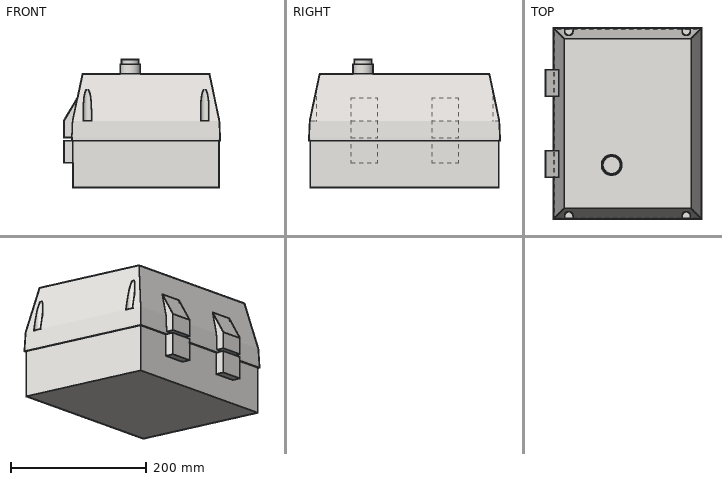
import cadquery as cq

RIM_X = 219.5
RIM_Y = 283.0

BASE_TOP = 69.5
RIM_TOP = 74.0
BAND_TOP = 98.8
LID_TOP = 168.5
BUTTON_STEP = 182.5
BUTTON_TOP = 189.5

BASE_INSET = 1.7
BAND_INSET = 1.0
LID_TOP_INSET = 15.8

LATCH_OUTER_X = -121.7
LATCH_WIDTH = 39.5
LATCH_OFFSET_Y = 60.0
LATCH_BOTTOM = 36.5
LATCH_TOP = 133.0

BUTTON_X = -23.5
BUTTON_Y = -61.5
BUTTON_RADIUS = 15.0
BUTTON_CAP_RADIUS = 13.0

RECESS_RADIUS = 6.2
RECESS_X = 87.0
RECESS_Y = 136.7


def box_between(inset, bottom, top):
    """Straight-sided block whose outline lies inside the rim by the inset."""
    return (
        cq.Workplane("XY")
        .workplane(offset=bottom)
        .rect(RIM_X - 2 * inset, RIM_Y - 2 * inset)
        .extrude(top - bottom)
    )


def tapered_block(bottom_inset, bottom, top_inset, top):
    """Block that tapers between two rectangles inset from the rim."""
    return (
        cq.Workplane("XY")
        .workplane(offset=bottom)
        .rect(RIM_X - 2 * bottom_inset, RIM_Y - 2 * bottom_inset)
        .workplane(offset=top - bottom)
        .rect(RIM_X - 2 * top_inset, RIM_Y - 2 * top_inset)
        .loft(ruled=True)
    )


def latch_block(outline, center_y):
    """Extrude an XZ outline by the latch width, centred at center_y."""
    return (
        cq.Workplane("XZ", origin=(0, center_y, 0))
        .polyline(outline)
        .close()
        .extrude(LATCH_WIDTH / 2, both=True)
    )


def make_base():
    """Base block with the lower halves of the latches."""
    base = box_between(BASE_INSET, 0, BASE_TOP)
    wall_x = -RIM_X / 2 + BASE_INSET
    outline = [
        (LATCH_OUTER_X, LATCH_BOTTOM),
        (wall_x, LATCH_BOTTOM),
        (wall_x, BASE_TOP),
        (LATCH_OUTER_X, BASE_TOP),
    ]
    for center_y in (-LATCH_OFFSET_Y, LATCH_OFFSET_Y):
        base = base.union(latch_block(outline, center_y))
    return base


def make_recess(x, side):
    """Round-backed vertical slot, open towards the given Y side (-1 or +1)."""
    depth = LID_TOP - BAND_TOP
    open_length = RIM_Y / 2 - RECESS_Y
    round_back = (
        cq.Workplane("XY", origin=(x, side * RECESS_Y, BAND_TOP))
        .circle(RECESS_RADIUS)
        .extrude(depth)
    )
    opening = (
        cq.Workplane("XY", origin=(x, side * (RECESS_Y + open_length / 2), BAND_TOP))
        .rect(2 * RECESS_RADIUS, open_length)
        .extrude(depth)
    )
    return round_back.union(opening)


def make_button():
    """Push button: a wide collar with a narrower cap."""
    collar = (
        cq.Workplane("XY", origin=(BUTTON_X, BUTTON_Y, LID_TOP))
        .circle(BUTTON_RADIUS)
        .extrude(BUTTON_STEP - LID_TOP)
    )
    return collar.faces(">Z").workplane().circle(BUTTON_CAP_RADIUS).extrude(BUTTON_TOP - BUTTON_STEP)


def make_lid():
    """Lid with its rim, upper latch halves, screw recesses and button."""
    lid = box_between(0, BASE_TOP, RIM_TOP)
    lid = lid.union(tapered_block(0, RIM_TOP, BAND_INSET, BAND_TOP))
    lid = lid.union(tapered_block(BAND_INSET, BAND_TOP, LID_TOP_INSET, LID_TOP))

    band_x = -RIM_X / 2 + BAND_INSET
    lid_slope = (LID_TOP_INSET - BAND_INSET) / (LID_TOP - BAND_TOP)
    latch_tip_x = band_x + lid_slope * (LATCH_TOP - BAND_TOP)
    outline = [
        (LATCH_OUTER_X, RIM_TOP),
        (-RIM_X / 2, RIM_TOP),
        (band_x, BAND_TOP),
        (latch_tip_x, LATCH_TOP),
        (LATCH_OUTER_X, BAND_TOP),
    ]
    for center_y in (-LATCH_OFFSET_Y, LATCH_OFFSET_Y):
        lid = lid.union(latch_block(outline, center_y))

    for x in (-RECESS_X, RECESS_X):
        for side in (-1, 1):
            lid = lid.cut(make_recess(x, side))

    return lid.union(make_button())


base = make_base()
lid = make_lid()

result = cq.Compound.makeCompound([base.solids().val(), lid.solids().val()])